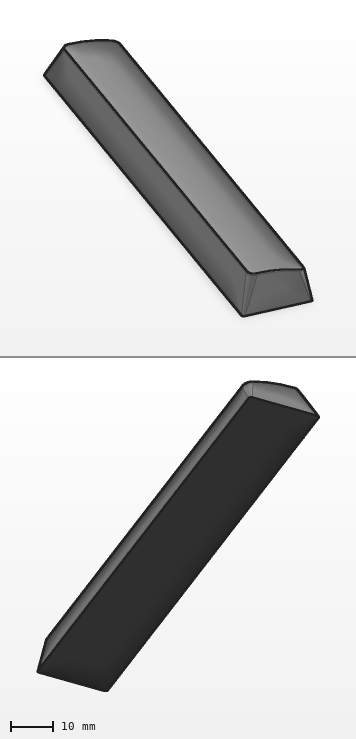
import cadquery as cq

LENGTH = 118.1
DEPTH = 18.1
BASE_CORNER_RADIUS = 0.6

END_INSET = 3.0
FRONT_INSET = 3.1
BACK_INSET = 0.2
RIM_CORNER_RADIUS = 2.0

HEIGHT = 9.0
CROWN_RADIUS = 35.4
CROWN_PEAK_Y = -3.7

RIM_HEIGHT = 0.4
RIM_INSET = 0.2


def rounded_block(length, depth, center_y, radius):
    """Upright block standing on the base plane, with rounded corners."""
    return (
        cq.Workplane("XY")
        .center(0, center_y)
        .rect(length, depth)
        .extrude(HEIGHT)
        .edges("|Z")
        .fillet(radius)
    )


def crown_cylinder():
    """Cylinder along X whose upper surface is the crowned top."""
    return (
        cq.Workplane("YZ")
        .center(CROWN_PEAK_Y, HEIGHT - CROWN_RADIUS)
        .circle(CROWN_RADIUS)
        .extrude(LENGTH / 2, both=True)
    )


def base_face():
    """Flat base outline whose edges run the same way round as the crown's."""
    block = rounded_block(LENGTH, DEPTH, 0, BASE_CORNER_RADIUS)
    return block.faces(">Z").val().translate(cq.Vector(0, 0, -HEIGHT))


def crowned_face(inset):
    """Face on the crown cylinder, drawn in by the inset from the rim's foot in plan."""
    block = rounded_block(
        LENGTH - 2 * (END_INSET + inset),
        DEPTH - FRONT_INSET - BACK_INSET - 2 * inset,
        (FRONT_INSET - BACK_INSET) / 2,
        RIM_CORNER_RADIUS - inset,
    )
    return block.intersect(crown_cylinder()).faces(">Z").val()


def straight_walls(lower_face, upper_face):
    """Ruled walls joining each lower edge to the upper edge nearest to it."""
    walls = []
    for lower_edge in lower_face.Edges():
        upper_edge = min(
            upper_face.Edges(),
            key=lambda edge: (edge.Center() - lower_edge.Center()).Length,
        )
        walls.append(cq.Face.makeRuledSurface(lower_edge, upper_edge))
    return walls


base = base_face()
crown = crowned_face(RIM_INSET)
rim_foot = crowned_face(0).translate(cq.Vector(0, 0, -RIM_HEIGHT))
leaning_walls = straight_walls(base, rim_foot)
rim_walls = straight_walls(rim_foot, crown)

shell = cq.Shell.makeShell([base, *leaning_walls, *rim_walls, crown])
result = cq.Workplane(cq.Solid.makeSolid(shell))